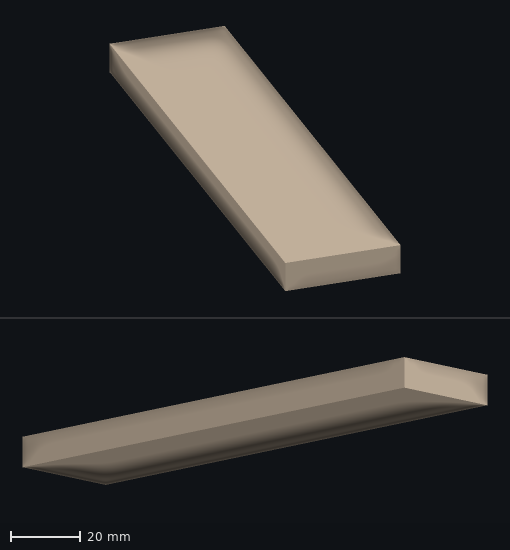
import cadquery as cq

outer_length = 149.6
outer_width = 35.6
outer_height = 12.1
end_drop = 3.1
side_shift = 0.3

end_width = outer_width - side_shift
end_height = outer_height - end_drop

result = (
    cq.Workplane("YZ")
    .rect(end_width, end_height)
    .workplane(offset=outer_length)
    .center(-side_shift, -end_drop)
    .rect(end_width, end_height)
    .loft(ruled=True)
)